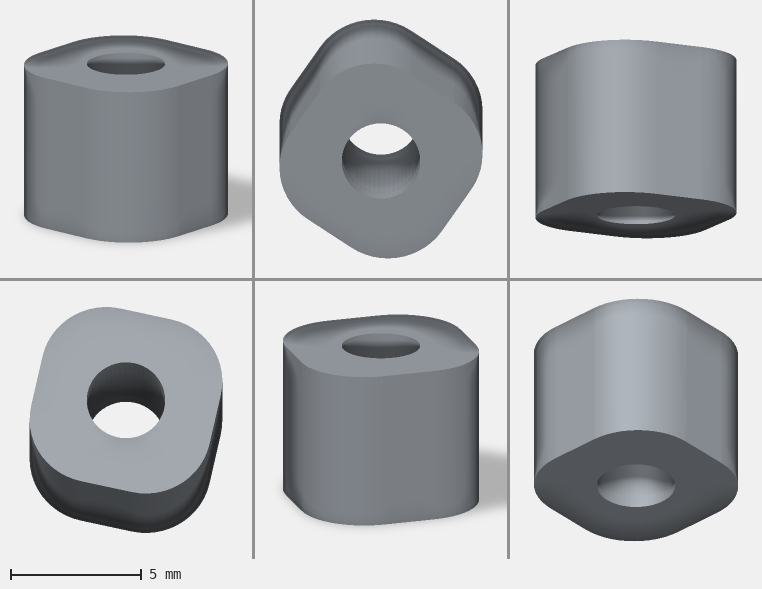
import cadquery as cq

side = 7.0
height = 6.0
corner_radius = 2.5

bore_diameter = 3.0

block = cq.Workplane("XY").box(side, side, height).edges("|Z").fillet(corner_radius)

result = block.faces(">Z").workplane().hole(bore_diameter)